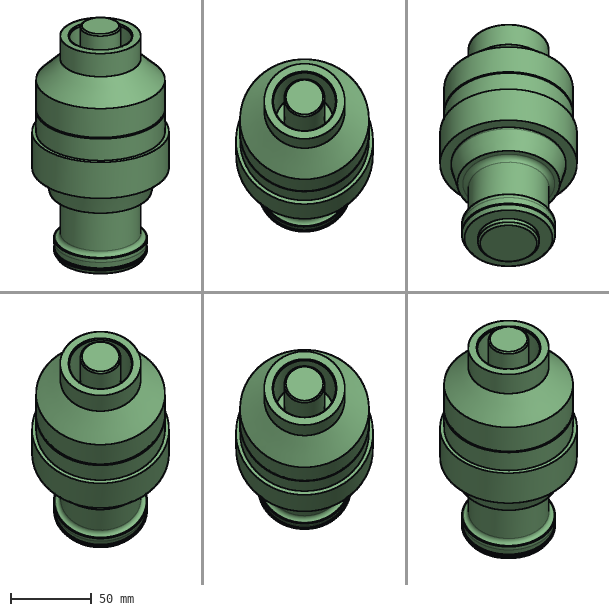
import cadquery as cq
import math

TOTAL_HEIGHT = 162.6

SPIGOT_RADIUS = 38 / 2
SPIGOT_CHAMFER = 1.4

FLANGE_RADIUS = 58 / 2
FLANGE_BOTTOM = 4.2
FLANGE_TOP = 16.0
FLANGE_TAPER_HEIGHT = 3.0
FLANGE_TAPER_ANGLE = 30
FLANGE_EDGE_BREAK = 0.5
GROOVE_BOTTOM = 8.2
GROOVE_TOP = 13.1
GROOVE_DEPTH = 0.6
GROOVE_LOWER_SIDE_HEIGHT = 0.5

NECK_RADIUS = 50 / 2
NECK_FILLET = 3.0
UPPER_NECK_FILLET = 3.5

CONE_BOTTOM = 48.4
CONE_TOP = 63.0
CONE_TOP_RADIUS = 71.2 / 2
CONE_ANGLE = 15

COLLAR_RADIUS = 85 / 2
COLLAR_BOTTOM = 64.1
COLLAR_HEIGHT = 25.0

BODY_RADIUS = 80 / 2
JOINT_HEIGHT = 104.1
JOINT_CHAMFER = 1.0
BODY_TOP = 125.1

SOCKET_RADIUS = 50 / 2
SOCKET_TOP = 155.7
SHOULDER_HEIGHT = 14.6

BORE_RADIUS = 38.6 / 2
BORE_CHAMFER_WIDTH = 0.6
BORE_CHAMFER_ANGLE = 30
BORE_BOTTOM_RADIUS = 36 / 2
BORE_DEPTH = 35.0

PIN_RADIUS = 25 / 2
PIN_CHAMFER = 1.0


def make_outer_body():
    """Revolve the outside profile from the bottom face to the socket rim."""
    flange_taper_width = FLANGE_TAPER_HEIGHT * math.tan(math.radians(FLANGE_TAPER_ANGLE))
    groove_radius = FLANGE_RADIUS - GROOVE_DEPTH
    cone_height = CONE_TOP - CONE_BOTTOM
    cone_bottom_radius = CONE_TOP_RADIUS - cone_height * math.tan(math.radians(CONE_ANGLE))
    collar_top = COLLAR_BOTTOM + COLLAR_HEIGHT
    profile = (
        cq.Workplane("XZ")
        .moveTo(0, 0)
        .lineTo(SPIGOT_RADIUS - SPIGOT_CHAMFER, 0)
        .lineTo(SPIGOT_RADIUS, SPIGOT_CHAMFER)
        .lineTo(SPIGOT_RADIUS, FLANGE_BOTTOM)
        .lineTo(FLANGE_RADIUS - flange_taper_width, FLANGE_BOTTOM)
        .lineTo(FLANGE_RADIUS, FLANGE_BOTTOM + FLANGE_TAPER_HEIGHT)
        .lineTo(FLANGE_RADIUS, GROOVE_BOTTOM)
        .lineTo(groove_radius, GROOVE_BOTTOM + GROOVE_LOWER_SIDE_HEIGHT)
        .lineTo(FLANGE_RADIUS, GROOVE_TOP)
        .lineTo(FLANGE_RADIUS, FLANGE_TOP - FLANGE_EDGE_BREAK)
        .lineTo(FLANGE_RADIUS - FLANGE_EDGE_BREAK, FLANGE_TOP)
        .lineTo(NECK_RADIUS + NECK_FILLET, FLANGE_TOP)
        .radiusArc((NECK_RADIUS, FLANGE_TOP + NECK_FILLET), NECK_FILLET)
        .lineTo(NECK_RADIUS, CONE_BOTTOM - UPPER_NECK_FILLET)
        .radiusArc((NECK_RADIUS + UPPER_NECK_FILLET, CONE_BOTTOM), UPPER_NECK_FILLET)
        .lineTo(cone_bottom_radius, CONE_BOTTOM)
        .lineTo(CONE_TOP_RADIUS, CONE_TOP)
        .lineTo(CONE_TOP_RADIUS, COLLAR_BOTTOM)
        .lineTo(COLLAR_RADIUS, COLLAR_BOTTOM)
        .lineTo(COLLAR_RADIUS, collar_top)
        .lineTo(BODY_RADIUS, collar_top)
        .lineTo(BODY_RADIUS, JOINT_HEIGHT)
        .lineTo(BODY_RADIUS - JOINT_CHAMFER, JOINT_HEIGHT)
        .lineTo(BODY_RADIUS, JOINT_HEIGHT + JOINT_CHAMFER)
        .lineTo(BODY_RADIUS, BODY_TOP)
        .lineTo(SOCKET_RADIUS, BODY_TOP + SHOULDER_HEIGHT)
        .lineTo(SOCKET_RADIUS, SOCKET_TOP)
        .lineTo(0, SOCKET_TOP)
        .close()
    )
    return profile.revolve(360, (0, 0, 0), (0, 1, 0))


def make_bore():
    """Socket bore: chamfered at the rim and narrowing slightly towards its floor."""
    chamfer_height = BORE_CHAMFER_WIDTH / math.tan(math.radians(BORE_CHAMFER_ANGLE))
    bore_floor = SOCKET_TOP - BORE_DEPTH
    profile = (
        cq.Workplane("XZ")
        .moveTo(0, bore_floor)
        .lineTo(BORE_BOTTOM_RADIUS, bore_floor)
        .lineTo(BORE_RADIUS, SOCKET_TOP - chamfer_height)
        .lineTo(BORE_RADIUS + BORE_CHAMFER_WIDTH, SOCKET_TOP)
        .lineTo(0, SOCKET_TOP)
        .close()
    )
    return profile.revolve(360, (0, 0, 0), (0, 1, 0))


def make_pin():
    """Central pin, standing on the bore floor and chamfered at its tip."""
    bore_floor = SOCKET_TOP - BORE_DEPTH
    return (
        cq.Workplane("XY", origin=(0, 0, bore_floor))
        .circle(PIN_RADIUS)
        .extrude(TOTAL_HEIGHT - bore_floor)
        .faces(">Z")
        .chamfer(PIN_CHAMFER)
    )


result = make_outer_body().cut(make_bore()).union(make_pin())